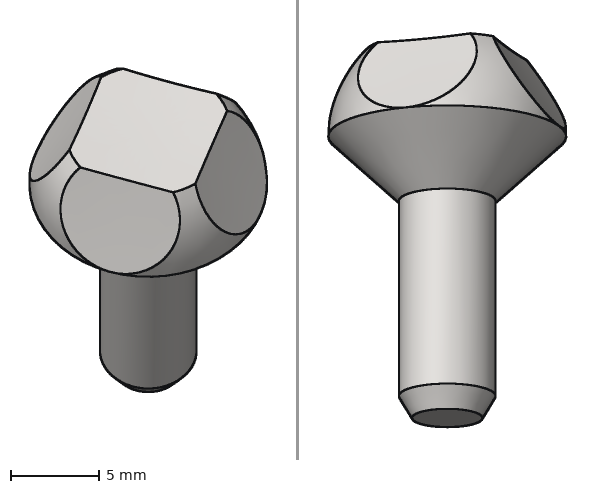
import cadquery as cq
import math

total_height = 21.39
shank_diameter = 5.5
tip_diameter = 4.0
tip_height = 1.28
head_diameter = 13.5
under_head_height = 3.8
crown_height = 4.85
face_radius = 78.0
side_face_count = 4
side_face_tilt = 31.5

shank_radius = shank_diameter / 2
tip_radius = tip_diameter / 2
head_radius = head_diameter / 2
rim_z = total_height - crown_height
shank_top_z = rim_z - under_head_height


def make_turned_body():
    """Shank, conical underside and a half-ball crown centred on the rim plane."""
    diagonal_offset = head_radius * math.sqrt(0.5)
    return (
        cq.Workplane("XZ")
        .moveTo(0, 0)
        .lineTo(tip_radius, 0)
        .lineTo(shank_radius, tip_height)
        .lineTo(shank_radius, shank_top_z)
        .lineTo(head_radius, rim_z)
        .threePointArc((diagonal_offset, rim_z + diagonal_offset), (0, rim_z + head_radius))
        .close()
        .revolve(360, (0, 0), (0, 1))
    )


def make_face_cutter(chord_distance, elevation, heading):
    """Large ball that meets the crown in a circle lying chord_distance from the crown centre.

    elevation and heading give the direction of the face, in degrees.
    """
    circle_radius_squared = head_radius**2 - chord_distance**2
    center_distance = chord_distance + math.sqrt(face_radius**2 - circle_radius_squared)
    tilt = math.radians(elevation)
    turn = math.radians(heading)
    center = (
        center_distance * math.cos(tilt) * math.cos(turn),
        center_distance * math.cos(tilt) * math.sin(turn),
        rim_z + center_distance * math.sin(tilt),
    )
    return cq.Workplane("XY").sphere(face_radius).translate(center)


def cut_top_face(body):
    return body.cut(make_face_cutter(crown_height, 90, 0))


def cut_side_faces(body):
    """Side faces start at the rim and lean inward toward the top."""
    chord_distance = head_radius * math.cos(math.radians(side_face_tilt))
    for index in range(side_face_count):
        heading = index * 360 / side_face_count
        body = body.cut(make_face_cutter(chord_distance, side_face_tilt, heading))
    return body


result = cut_side_faces(cut_top_face(make_turned_body()))